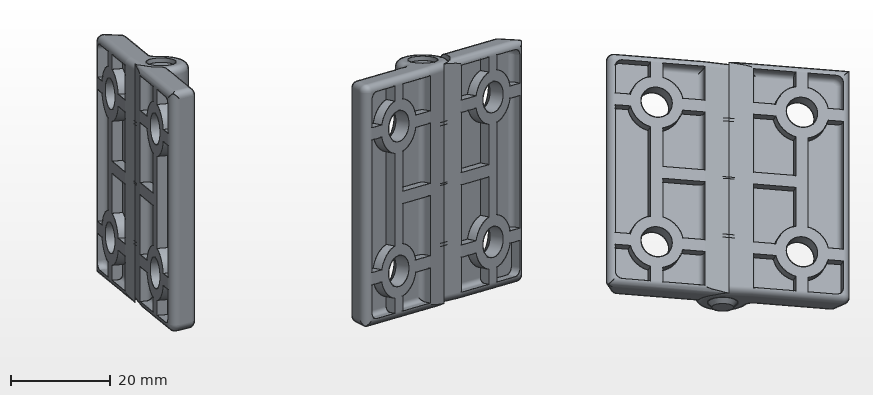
import cadquery as cq
import math


leaf_length = 49.95
hinge_width = 50.0
plate_thickness = 6.0
side_slope = 26.0
edge_radius = 1.5
leaf_shift = 0.18

knuckle_radius = 5.5
knuckle_length = 12.0
knuckle_root_radius = 1.2
relief_width = 5.0

pocket_depth = 2.25
pocket_corner_radius = 1.55
pocket_floor_radius = 1.0
rib_width = 2.55
boss_diameter = 11.1

screw_hole_diameter = 6.4
countersink_diameter = 11.7
screw_x = -15.0
screw_pitch = 30.0

pin_diameter = 6.0
turning_hole_diameter = 6.2
pin_length = 49.8
pin_overhang = 1.0
pin_tip_chamfer = 0.8
pin_top_chamfer = 0.35

half_length = leaf_length / 2
leaf_reach = hinge_width / 2
front_y = -plate_thickness
slope = math.radians(side_slope)
round_centre_x = edge_radius - leaf_reach
round_centre_y = front_y + edge_radius
side_x_at_round = round_centre_x - edge_radius * math.cos(slope)
side_y_at_round = round_centre_y + edge_radius * math.sin(slope)
front_corner_x = side_x_at_round - (side_y_at_round - front_y) * math.tan(slope)
back_corner_x = front_corner_x + plate_thickness * math.tan(slope)
pocket_left = round_centre_x
pocket_right = -relief_width
pocket_height = leaf_length - 2 * edge_radius
pocket_floor_y = front_y + pocket_depth
screw_heights = (-screw_pitch / 2, screw_pitch / 2)
upper_knuckle_base = half_length - knuckle_length
pin_bottom = leaf_shift - half_length - pin_overhang


def prism(outline, base, height):
    """Extrude a closed XY outline upward from Z = base."""
    return outline.extrude(height).translate((0, 0, base))


def cylinder_z(diameter, base, height):
    """Cylinder on the pin axis."""
    return prism(cq.Workplane("XY").circle(diameter / 2), base, height)


def cylinder_y(diameter, z):
    """Cylinder through the plate thickness on a screw axis."""
    return cq.Workplane("XZ").center(screw_x, z).circle(diameter / 2).extrude(plate_thickness)


def box_between(x0, x1, y0, y1, z0, z1):
    """Box from its lowest to its highest X, Y and Z."""
    size = (x1 - x0, y1 - y0, z1 - z0)
    return cq.Workplane("XY").box(*size, centered=False).translate((x0, y0, z0))


def knuckle_block(base, height):
    """Slice of leaf whose section runs from the plate through the sloped strip to the barrel."""
    root_x = -math.sqrt((knuckle_radius + knuckle_root_radius)**2 - knuckle_root_radius**2)
    touch_share = knuckle_radius / (knuckle_radius + knuckle_root_radius)
    diagonal = knuckle_radius * math.sqrt(0.5)
    touch_point = (root_x * touch_share, knuckle_root_radius * touch_share)
    outline = (
        cq.Workplane("XY")
        .moveTo(front_corner_x, front_y)
        .lineTo(-relief_width, front_y)
        .lineTo(0, -knuckle_radius)
        .threePointArc((diagonal, diagonal), touch_point)
        .tangentArcPoint((root_x, 0), relative=False)
        .lineTo(back_corner_x, 0)
        .close()
    )
    outer_corners = prism(outline, base, height).edges("|Z").edges(">>X[0] or >>X[1]")
    return outer_corners.fillet(edge_radius)


def plate_block(base, height):
    """Slice of leaf without a barrel: rounded lower end, sloped strip, clear of the other knuckles."""
    outline = cq.Workplane("XY").polyline(
        [(front_corner_x, front_y), (0, front_y), (0, 0), (back_corner_x, 0)]
    ).close()
    slab = prism(outline, base, height)
    bottom = slab.faces("<Z")
    front_edges = bottom.edges("<Y").add(slab.edges("|Z").edges(">>X[0]"))
    back_edges = bottom.edges("<X or >Y").add(slab.edges("|Z").edges(">>X[1]"))
    block = front_edges.fillet(edge_radius).intersect(back_edges.fillet(edge_radius))
    strip_waste = cq.Workplane("XY").polyline(
        [(-relief_width, front_y), (0, -knuckle_radius), (0, front_y)]
    ).close()
    return block.cut(prism(strip_waste, base, height)).cut(cylinder_z(2 * knuckle_radius, base, height))


def pocket_ribs():
    """Bosses around the screw holes and the ribs that join them to the pocket walls."""
    half_rib = rib_width / 2
    half_height = pocket_height / 2
    ribs = box_between(screw_x - half_rib, screw_x + half_rib, front_y, 0, -half_height, half_height)
    ribs = ribs.union(box_between(screw_x, pocket_right, front_y, 0, -half_rib, half_rib))
    for z in screw_heights:
        ribs = ribs.union(box_between(pocket_left, pocket_right, front_y, 0, z - half_rib, z + half_rib))
        ribs = ribs.union(cylinder_y(boss_diameter, z))
    return ribs


def pocket():
    """Hollow of the front face: rounded outer corners and floor, less the ribs."""
    half_height = pocket_height / 2
    hollow = box_between(pocket_left, pocket_right, front_y, pocket_floor_y, -half_height, half_height)
    hollow = hollow.edges("|Y and <X").fillet(pocket_corner_radius)
    hollow = hollow.faces(">Y").edges().fillet(pocket_floor_radius)
    sharp_cell = box_between(
        pocket_left, screw_x, front_y, pocket_floor_y, screw_heights[1], half_height
    ).edges("|Y and <X and >Z").fillet(pocket_corner_radius)
    return hollow.union(sharp_cell).cut(pocket_ribs())


def countersink(z):
    """Right-angled cone for a screw head, opening at the back face."""
    depth = (countersink_diameter - screw_hole_diameter) / 2
    mouth = cq.Workplane("XZ").center(screw_x, z).circle(countersink_diameter / 2)
    return mouth.workplane(offset=depth).circle(screw_hole_diameter / 2).loft()


def leaf(pin_hole_diameter):
    """Leaf on the -X side, centred on Z = 0, with its end knuckle at the top."""
    body = knuckle_block(upper_knuckle_base, knuckle_length)
    body = body.faces(">Z").edges().fillet(edge_radius)
    body = body.union(plate_block(-half_length, leaf_length - knuckle_length))
    body = body.union(knuckle_block(-knuckle_length, knuckle_length))
    body = body.cut(cylinder_z(pin_hole_diameter, -half_length, leaf_length))
    body = body.cut(pocket())
    for z in screw_heights:
        body = body.cut(cylinder_y(screw_hole_diameter, z)).cut(countersink(z))
    return body


def pin():
    """Pin with a long taper at its lower tip and a small chamfer on top."""
    shaft = cylinder_z(pin_diameter, pin_bottom, pin_length)
    shaft = shaft.faces("<Z").chamfer(pin_overhang, pin_tip_chamfer)
    return shaft.faces(">Z").chamfer(pin_top_chamfer)


left_leaf = leaf(pin_diameter).translate((0, 0, -leaf_shift))
right_leaf = leaf(turning_hole_diameter).rotate((0, 0, 0), (0, 1, 0), 180).translate((0, 0, leaf_shift))
hinge_pin = pin()

result = cq.Compound.makeCompound([
    left_leaf.solids().val(),
    right_leaf.solids().val(),
    hinge_pin.val(),
])